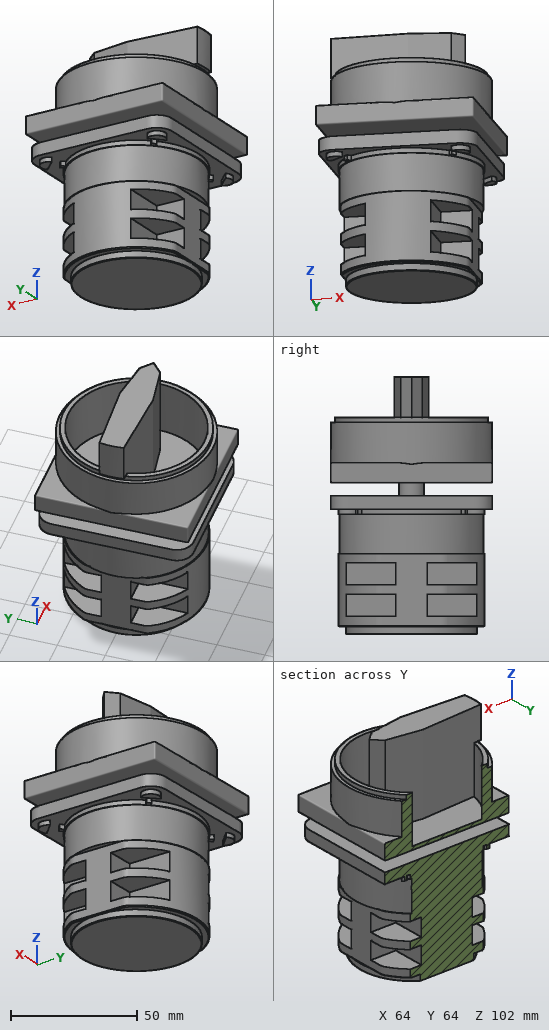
import cadquery as cq
import math

base_top = 3.0
body_top = 32.0
collar_top = 47.5
plate_bottom = 49.5
plate_top = 55.0
bezel_bottom = 60.0
well_floor = 62.0
bezel_top = 68.0
guard_top = 84.0
rim_top = 86.0
handle_top = 102.0

base_radius = 26.0
base_edge = 0.3
body_radius = 29.0
body_half_width = 26.0
body_corner_radius = 5.0
body_edge = 0.5

window_height = 8.7
window_bottoms = (7.2, 19.7)
window_inner_x = 13.25
window_inner_y = 6.2

square_side = 64.0
plate_corner_radius = 7.0
bezel_edge = 0.6
shaft_radius = 5.0

collar_radius = 28.6
neck_radius = body_radius
foot_radius = 4.0
foot_reach = (square_side / 2 - plate_corner_radius) * math.sqrt(2)
tab_width = 2.0
tab_reach = 31.0

guard_radius = square_side / 2
rim_radius = 30.4
well_radius = 28.3
handle_tail_half = 5.1
handle_middle_half = 6.9
handle_shoulder_x = 17.0
handle_shoulder_half = 4.3
handle_tip_x = 21.8


def disc(radius, bottom, top):
    return cq.Workplane("XY").workplane(offset=bottom).circle(radius).extrude(top - bottom)


def square_plate(bottom, top):
    return cq.Workplane("XY").workplane(offset=bottom).rect(square_side, square_side).extrude(top - bottom)


def make_base():
    return disc(base_radius, 0, base_top).faces("<Z").edges().chamfer(base_edge)


def make_body():
    """Round body flattened on its X sides, with blended corners and terminal windows."""
    height = body_top - base_top
    flats = cq.Workplane("XY").workplane(offset=base_top)
    flats = flats.rect(2 * body_half_width, 2 * body_radius).extrude(height)
    body = disc(body_radius, base_top, body_top).intersect(flats)
    body = body.edges("|Z").edges("<X or >X").fillet(body_corner_radius)
    body = body.faces("<Z").edges().chamfer(body_edge)
    length = body_radius - window_inner_y
    width = body_radius - window_inner_x
    for bottom in window_bottoms:
        for side_x in (-1, 1):
            for side_y in (-1, 1):
                window = cq.Workplane("XY").box(width, length, window_height, centered=(True, True, False))
                centre_x = side_x * (window_inner_x + width / 2)
                centre_y = side_y * (window_inner_y + length / 2)
                body = body.cut(window.translate((centre_x, centre_y, bottom)))
    return body


def make_neck():
    """Ring under the mounting plate, with a tab and a half-round foot on each diagonal."""
    height = plate_bottom - collar_top
    neck = disc(neck_radius, collar_top, plate_bottom)
    level = cq.Workplane("XY").workplane(offset=collar_top)
    tab = level.center(tab_reach / 2, 0).rect(tab_reach, tab_width).extrude(height)
    foot = (
        level.moveTo(foot_reach, -foot_radius)
        .threePointArc((foot_reach + foot_radius, 0), (foot_reach, foot_radius))
        .close()
        .extrude(height)
    )
    for angle in (45, 135, 225, 315):
        for piece in (tab, foot):
            neck = neck.union(piece.rotate((0, 0, 0), (0, 0, 1), angle))
    return neck


def make_mounting_plate():
    return square_plate(plate_bottom, plate_top).edges("|Z").fillet(plate_corner_radius)


def make_housing():
    """Square bezel under a round guard with a stepped rim, hollowed by the handle well."""
    bezel = square_plate(bezel_bottom, bezel_top).edges().fillet(bezel_edge)
    guard = disc(guard_radius, bezel_top - bezel_edge, guard_top)
    rim = disc(rim_radius, guard_top, rim_top)
    return bezel.union(guard).union(rim).cut(disc(well_radius, well_floor, rim_top))


def make_handle():
    """Pointed grip standing in the well, with its tail resting across the rim."""
    tail_x = -math.sqrt(guard_radius**2 - handle_tail_half**2)
    grip = (
        cq.Workplane("XY")
        .workplane(offset=well_floor)
        .moveTo(tail_x, handle_tail_half)
        .lineTo(0, handle_middle_half)
        .lineTo(handle_shoulder_x, handle_shoulder_half)
        .lineTo(handle_tip_x, 0)
        .lineTo(handle_shoulder_x, -handle_shoulder_half)
        .lineTo(0, -handle_middle_half)
        .lineTo(tail_x, -handle_tail_half)
        .threePointArc((-guard_radius, 0), (tail_x, handle_tail_half))
        .close()
        .extrude(handle_top - well_floor)
    )
    outside_well = disc(square_side, well_floor, rim_top).cut(disc(well_radius, well_floor, rim_top))
    return grip.cut(outside_well)


result = (
    make_base()
    .union(make_body())
    .union(disc(collar_radius, body_top, collar_top))
    .union(make_neck())
    .union(make_mounting_plate())
    .union(disc(shaft_radius, plate_top, bezel_bottom))
    .union(make_housing())
    .union(make_handle())
)